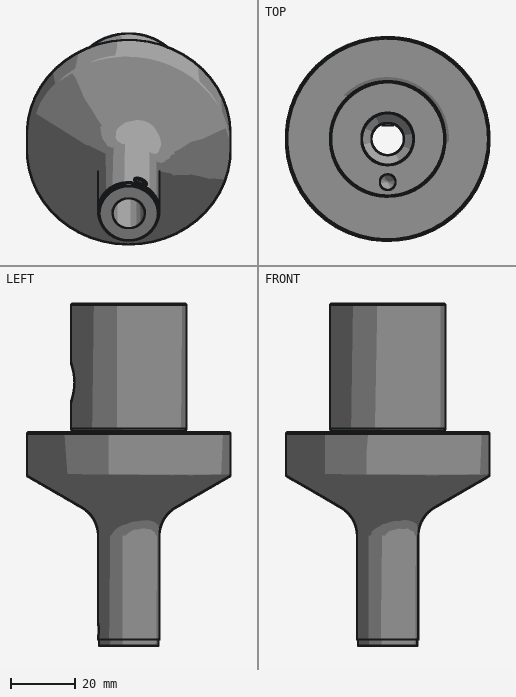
import cadquery as cq
import math

TOTAL_HEIGHT = 106.5
FLANGE_TOP = 66.6
SPIGOT_TOP = 34.4

FLANGE_RADIUS = 31.7
SHANK_RADIUS = 18.0
SPIGOT_RADIUS = 9.6
SPIGOT_STEP_RADIUS = 9.3
SPIGOT_STEP_HEIGHT = 2.1

CONE_ANGLE = 30.0
CONE_FILLET_RADIUS = 10.0
RIM_FILLET_RADIUS = 1.0
FLANGE_CHAMFER = 0.5
SHANK_CHAMFER = 0.4
SPIGOT_CHAMFER = 0.2

UNDERCUT_SPAN = 1.2
UNDERCUT_SHANK_DEPTH = 0.3
UNDERCUT_FACE_DEPTH = 0.2
UNDERCUT_CORNER_RADIUS = 0.5

BORE_RADIUS = 5.0
COUNTERBORE_RADIUS = 8.0
COUNTERBORE_DEPTH = 47.9
COUNTERBORE_CHAMFER = 0.2
DRILL_POINT_ANGLE = 118.0

BLIND_HOLE_RADIUS = 2.5
BLIND_HOLE_OFFSET = 13.4
BLIND_HOLE_DEPTH = 12.8

CLAMP_HOLE_RADIUS = 6.1
CLAMP_HOLE_HEIGHT = 82.0

SCREW_RADIUS = 2.1
SCREW_TIP_RADIUS = 1.6
SCREW_TIP_LENGTH = 1.8
SCREW_HEIGHT = 5.0
SCREW_INNER_END = 4.2
SCREW_OUTER_END = 8.9


def drill_point_depth(radius):
    """Height of the cone left by a drill of the given radius."""
    return radius / math.tan(math.radians(DRILL_POINT_ANGLE / 2))


def turned_blank():
    slope = math.radians(CONE_ANGLE)
    turn = math.pi / 2 - slope

    fillet_center_r = SPIGOT_RADIUS + CONE_FILLET_RADIUS
    fillet_mid = (
        fillet_center_r - CONE_FILLET_RADIUS * math.cos(turn / 2),
        SPIGOT_TOP + CONE_FILLET_RADIUS * math.sin(turn / 2),
    )
    fillet_end = (
        fillet_center_r - CONE_FILLET_RADIUS * math.cos(turn),
        SPIGOT_TOP + CONE_FILLET_RADIUS * math.sin(turn),
    )

    rim_center_r = FLANGE_RADIUS - RIM_FILLET_RADIUS
    rim_start_r = rim_center_r + RIM_FILLET_RADIUS * math.cos(turn)
    rim_start_z = fillet_end[1] + (rim_start_r - fillet_end[0]) * math.tan(slope)
    rim_bottom = rim_start_z + RIM_FILLET_RADIUS * math.sin(turn)
    rim_mid = (
        rim_center_r + RIM_FILLET_RADIUS * math.cos(turn / 2),
        rim_bottom - RIM_FILLET_RADIUS * math.sin(turn / 2),
    )

    undercut_r = SHANK_RADIUS - UNDERCUT_SHANK_DEPTH
    undercut_z = FLANGE_TOP - UNDERCUT_FACE_DEPTH
    corner_inset = UNDERCUT_CORNER_RADIUS * (1 - math.sqrt(0.5))

    profile = (
        cq.Workplane("XZ")
        .moveTo(0, 0)
        .lineTo(SPIGOT_STEP_RADIUS - SPIGOT_CHAMFER, 0)
        .lineTo(SPIGOT_STEP_RADIUS, SPIGOT_CHAMFER)
        .lineTo(SPIGOT_STEP_RADIUS, SPIGOT_STEP_HEIGHT)
        .lineTo(SPIGOT_RADIUS, SPIGOT_STEP_HEIGHT)
        .lineTo(SPIGOT_RADIUS, SPIGOT_TOP)
        .threePointArc(fillet_mid, fillet_end)
        .lineTo(rim_start_r, rim_start_z)
        .threePointArc(rim_mid, (FLANGE_RADIUS, rim_bottom))
        .lineTo(FLANGE_RADIUS, FLANGE_TOP - FLANGE_CHAMFER)
        .lineTo(FLANGE_RADIUS - FLANGE_CHAMFER, FLANGE_TOP)
        .lineTo(SHANK_RADIUS + UNDERCUT_SPAN, FLANGE_TOP)
        .lineTo(undercut_r + UNDERCUT_CORNER_RADIUS, undercut_z)
        .threePointArc(
            (undercut_r + corner_inset, undercut_z + corner_inset),
            (undercut_r, undercut_z + UNDERCUT_CORNER_RADIUS),
        )
        .lineTo(SHANK_RADIUS, FLANGE_TOP + UNDERCUT_SPAN)
        .lineTo(SHANK_RADIUS, TOTAL_HEIGHT - SHANK_CHAMFER)
        .lineTo(SHANK_RADIUS - SHANK_CHAMFER, TOTAL_HEIGHT)
        .lineTo(0, TOTAL_HEIGHT)
        .close()
    )
    return profile.revolve(360, (0, 0), (0, 1))


def stepped_bore():
    """Through bore, counterbored from the top with a conical floor."""
    floor_z = TOTAL_HEIGHT - COUNTERBORE_DEPTH
    cone_height = drill_point_depth(COUNTERBORE_RADIUS) - drill_point_depth(BORE_RADIUS)
    profile = (
        cq.Workplane("XZ")
        .moveTo(0, 0)
        .lineTo(BORE_RADIUS, 0)
        .lineTo(BORE_RADIUS, floor_z - cone_height)
        .lineTo(COUNTERBORE_RADIUS, floor_z)
        .lineTo(COUNTERBORE_RADIUS, TOTAL_HEIGHT - COUNTERBORE_CHAMFER)
        .lineTo(COUNTERBORE_RADIUS + COUNTERBORE_CHAMFER, TOTAL_HEIGHT)
        .lineTo(0, TOTAL_HEIGHT)
        .close()
    )
    return profile.revolve(360, (0, 0), (0, 1))


def blind_hole():
    """Drilled hole with a conical end, beside the bore on the -Y side."""
    floor_z = TOTAL_HEIGHT - BLIND_HOLE_DEPTH
    profile = (
        cq.Workplane("XZ")
        .moveTo(0, floor_z - drill_point_depth(BLIND_HOLE_RADIUS))
        .lineTo(BLIND_HOLE_RADIUS, floor_z)
        .lineTo(BLIND_HOLE_RADIUS, TOTAL_HEIGHT)
        .lineTo(0, TOTAL_HEIGHT)
        .close()
    )
    return profile.revolve(360, (0, 0), (0, 1)).translate((0, -BLIND_HOLE_OFFSET, 0))


def radial_cylinder(radius, height, inner_end, outer_end):
    """Cylinder along +Y at the given height, between two distances from the axis."""
    return (
        cq.Workplane("XZ", origin=(0, inner_end, height))
        .circle(radius)
        .extrude(inner_end - outer_end)
    )


def make_holder():
    clamp_hole = radial_cylinder(CLAMP_HOLE_RADIUS, CLAMP_HOLE_HEIGHT, 0, SHANK_RADIUS)
    screw_hole = radial_cylinder(SCREW_RADIUS, SCREW_HEIGHT, 0, SPIGOT_RADIUS)
    return (
        turned_blank()
        .cut(stepped_bore())
        .cut(blind_hole())
        .cut(clamp_hole)
        .cut(screw_hole)
    )


def make_screw():
    """Cylinder with a tapered flat tip that stands into the bore."""
    tip_base = SCREW_INNER_END + SCREW_TIP_LENGTH
    profile = (
        cq.Workplane("YZ", origin=(0, 0, SCREW_HEIGHT))
        .moveTo(SCREW_INNER_END, 0)
        .lineTo(SCREW_INNER_END, SCREW_TIP_RADIUS)
        .lineTo(tip_base, SCREW_RADIUS)
        .lineTo(SCREW_OUTER_END, SCREW_RADIUS)
        .lineTo(SCREW_OUTER_END, 0)
        .close()
    )
    return profile.revolve(360, (0, 0), (1, 0))


holder = make_holder()
screw = make_screw()

result = cq.Compound.makeCompound([holder.val(), screw.val()])